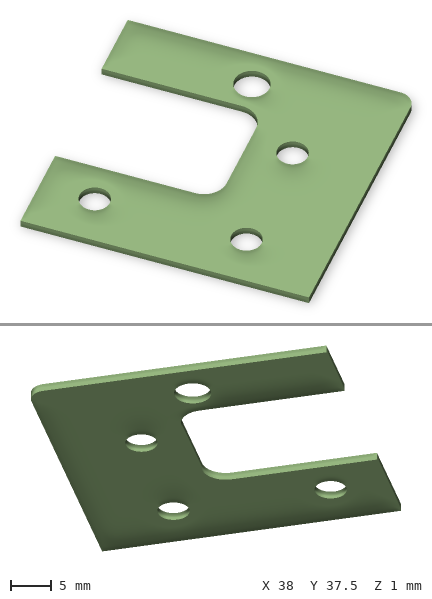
import cadquery as cq

length = 38.0
width = 37.5
thickness = 1.0
corner_radius = 2.0

slot_depth = 21.47
slot_bottom = 12.12
slot_top = 28.4
slot_radius = 3.0

small_diameter = 4.0
hole_left = 7.22
hole_low = 6.8
hole_pitch_x = 20.0
hole_pitch_y = 16.1

large_diameter = 4.6
large_center = (18.28, 32.4)


def make_plate():
    plate = cq.Workplane("XY").box(length, width, thickness, centered=False)
    return plate.edges("|Z and >X and >Y").fillet(corner_radius)


def make_slot():
    slot = (
        cq.Workplane("XY")
        .moveTo(0, slot_bottom)
        .rect(slot_depth, slot_top - slot_bottom, centered=False)
        .extrude(thickness)
    )
    return slot.edges("|Z and >X").fillet(slot_radius)


def make_holes(centers, diameter):
    return cq.Workplane("XY").pushPoints(centers).circle(diameter / 2).extrude(thickness)


hole_right = hole_left + hole_pitch_x
small_centers = [
    (hole_left, hole_low),
    (hole_right, hole_low),
    (hole_right, hole_low + hole_pitch_y),
]

result = (
    make_plate()
    .cut(make_slot())
    .cut(make_holes(small_centers, small_diameter))
    .cut(make_holes([large_center], large_diameter))
)